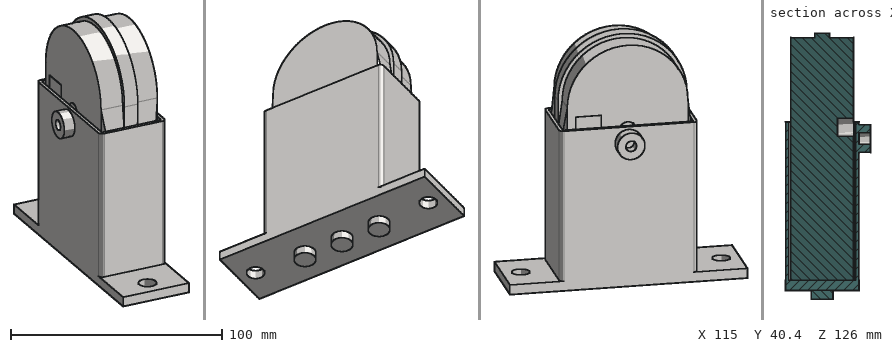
import cadquery as cq

peg_height = 4.2
plate_top = 9.1
box_top = 84.0
total_height = 126.0
knob_z = 76.1

plate_length = 115.0
depth = 34.9
plate_thickness = plate_top - peg_height
plate_hole_x = 48.5
plate_hole_diameter = 8.6
box_width = 66.8
box_height = box_top - plate_top
wall = 1.8
box_corner_radius = 2.0
cavity_corner_radius = 0.6

knob_diameter = 13.2
knob_length = 5.5
knob_bore_diameter = 5.2

peg_diameter = 10.3
peg_spacing = 20.8

rim_radius = 31.2
rim_thickness = 7.0
cheek_radius = 29.2
head_depth = 29.9
head_bottom = plate_top
dome_z = total_height - rim_radius
flare_height = 14.2
flare = rim_radius - cheek_radius
detent_diameter = 8.3
detent_z = 81.5
detent_depth = 7.5

recess_size = 12.3
recess_left = -25.2
recess_top = 89.8
recess_depth = 0.1


def make_housing():
    """Mounting plate with an open-topped box and a bored knob on its front wall."""
    plate = (
        cq.Workplane("XY", origin=(0, 0, peg_height))
        .box(plate_length, depth, plate_thickness, centered=(True, True, False))
        .faces(">Z").workplane()
        .pushPoints([(-plate_hole_x, 0), (plate_hole_x, 0)])
        .hole(plate_hole_diameter)
    )
    box = (
        cq.Workplane("XY", origin=(0, 0, plate_top))
        .box(box_width, depth, box_height, centered=(True, True, False))
        .edges("|Z").fillet(box_corner_radius)
    )
    cavity = (
        cq.Workplane("XY", origin=(0, 0, plate_top))
        .box(box_width - 2 * wall, depth - 2 * wall, box_height, centered=(True, True, False))
        .edges("|Z").fillet(cavity_corner_radius)
    )
    knob_plane = cq.Workplane("XZ", origin=(0, -depth / 2 + wall, knob_z))
    knob = knob_plane.circle(knob_diameter / 2).extrude(knob_length + wall)
    knob_bore = (
        cq.Workplane("XZ", origin=(0, -depth / 2, knob_z))
        .circle(knob_bore_diameter / 2)
        .extrude(knob_length)
    )
    return plate.union(box.cut(cavity)).union(knob).cut(knob_bore)


def make_cheeks():
    """Domed block whose straight sides flare out, with the flared corners cut at 45 degrees."""
    flare_end = dome_z - flare_height
    profile = (
        cq.Workplane("XZ")
        .moveTo(-rim_radius, head_bottom)
        .lineTo(-rim_radius, flare_end)
        .lineTo(-cheek_radius, dome_z)
        .threePointArc((0, dome_z + cheek_radius), (cheek_radius, dome_z))
        .lineTo(rim_radius, flare_end)
        .lineTo(rim_radius, head_bottom)
        .close()
        .extrude(head_depth / 2, both=True)
    )
    corner_limit = (
        cq.Workplane("XY", origin=(0, 0, head_bottom))
        .box(2 * rim_radius, head_depth, total_height, centered=(True, True, False))
        .edges("|Z").chamfer(flare)
    )
    return profile.intersect(corner_limit)


def make_head():
    """Cheeks with a raised middle rim, a blind detent hole and a square front recess."""
    rim = (
        cq.Workplane("XZ")
        .moveTo(-rim_radius, head_bottom)
        .lineTo(-rim_radius, dome_z)
        .threePointArc((0, total_height), (rim_radius, dome_z))
        .lineTo(rim_radius, head_bottom)
        .close()
        .extrude(rim_thickness / 2, both=True)
    )
    detent = (
        cq.Workplane("XZ", origin=(0, -head_depth / 2, detent_z))
        .circle(detent_diameter / 2)
        .extrude(-detent_depth)
    )
    recess = (
        cq.Workplane("XY", origin=(recess_left, -head_depth / 2, recess_top - recess_size))
        .box(recess_size, recess_depth, recess_size, centered=False)
    )
    return make_cheeks().union(rim).cut(detent).cut(recess)


def make_peg(x):
    """Round peg standing below the plate."""
    return cq.Workplane("XY", origin=(x, 0, 0)).circle(peg_diameter / 2).extrude(peg_height)


housing = make_housing()
head = make_head()
pegs = [make_peg(step * peg_spacing) for step in (-1, 0, 1)]

result = cq.Compound.makeCompound([housing.val(), head.val(), *[peg.val() for peg in pegs]])